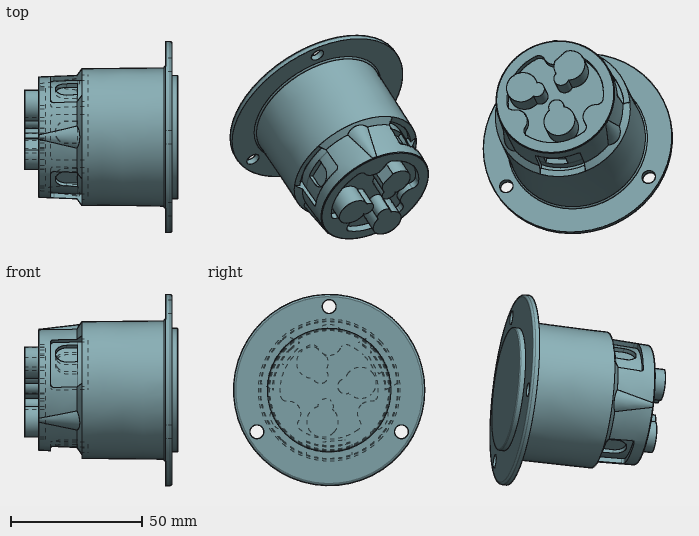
import cadquery as cq
import math


third_angles = (90, 210, 330)

cap_front = 5.2
recess_front = 9.9
cap_back = 19.9
ledge_start = 20.2
body_front = 21.8
flange_front = 53.65
flange_back = 56.1
overall_length = 58.3

cap_front_radius = 22.95
cap_back_radius = 23.55
body_front_radius = 26.1
body_back_radius = 26.4
flange_radius = 36.45
rear_ring_radius = 23.55
cap_edge_chamfer = 0.3
flange_root_fillet = 0.65
flange_edge_fillet = 0.9
rear_ring_fillet = 0.4

screw_hole_diameter = 5.2
screw_circle_radius = 31.8

recess_depth = 1.9
recess_corner_radius = 1.2
undercut_back = 24.05
undercut_radius = 23.7
side_recess_width = 20.7
lower_recess_width = 17.35
recesses = ((29, side_recess_width), (151, side_recess_width), (270, lower_recess_width))

pin_diameter = 11.95
pin_circle_radius = 12.25
key_pin_diameter = 5.8
key_pin_circle_radius = 6.35
flatted_pin_angle = 58.5
flat_angle = 132
flat_distance = 8.75
pin_angles = (flatted_pin_angle, 167, 282)

window_lag_angle = 17.3
window_front = 11.7
window_width = 8.45
window_floor_radius = 19.5

rib_tip_height = 0.2
rib_height = 1.5
rib_end_radius = 6.1
rib_tip_radius = 1.8

socket_radius = 18.65
socket_depth = 2.8
notch_radius = 4.75
notch_circle_radius = 17.9
lobe_fillet = 2.5

clearance = 3.65


def turn(angle, solid):
    """Rotate a feature drawn on the -Y side to its angle about the X axis."""
    return solid.rotate((0, 0, 0), (1, 0, 0), -angle)


def cylinder_at(angle, distance, radius, start, end):
    """Cylinder parallel to X, placed by angle and distance from the axis."""
    y = -distance * math.cos(math.radians(angle))
    z = distance * math.sin(math.radians(angle))
    return cq.Workplane("YZ", origin=(start, 0, 0)).center(y, z).circle(radius).extrude(end - start)


def revolve_profile(points):
    """Turn a profile given as (x, radius) points about the X axis."""
    return cq.Workplane("XY").polyline(points).close().revolve(360, (0, 0, 0), (1, 0, 0))


def shell():
    """Cap, body, flange and rear ring, turned as one piece."""
    turned = (
        cq.Workplane("XY")
        .moveTo(cap_front, 0)
        .lineTo(cap_front, cap_front_radius - cap_edge_chamfer)
        .lineTo(cap_front + cap_edge_chamfer, cap_front_radius)
        .lineTo(cap_back, cap_back_radius)
        .lineTo(body_front, body_front_radius)
        .lineTo(flange_front - flange_root_fillet, body_back_radius)
        .radiusArc((flange_front, body_back_radius + flange_root_fillet), flange_root_fillet)
        .lineTo(flange_front, flange_radius)
        .lineTo(flange_back - flange_edge_fillet, flange_radius)
        .radiusArc((flange_back, flange_radius - flange_edge_fillet), flange_edge_fillet)
        .lineTo(flange_back, rear_ring_radius)
        .lineTo(overall_length - rear_ring_fillet, rear_ring_radius)
        .radiusArc((overall_length, rear_ring_radius - rear_ring_fillet), rear_ring_fillet)
        .lineTo(overall_length, 0)
        .close()
        .revolve(360, (0, 0, 0), (1, 0, 0))
    )
    for angle in third_angles:
        hole = cylinder_at(angle, screw_circle_radius, screw_hole_diameter / 2, flange_front, flange_back)
        turned = turned.cut(hole)
    return turned


def rib():
    """Cone that starts narrow at the cap rim and swells toward the body."""
    length = cap_back - cap_front
    axis_tip_radius = cap_front_radius + rib_tip_height - rib_tip_radius
    axis_end_radius = cap_back_radius + rib_height - rib_end_radius
    drop = axis_tip_radius - axis_end_radius
    stretch = (body_front - cap_front) / length
    end_radius = rib_tip_radius + (rib_end_radius - rib_tip_radius) * stretch
    cone = cq.Solid.makeCone(
        rib_tip_radius,
        end_radius,
        math.hypot(length, drop) * stretch,
        cq.Vector(cap_front, -axis_tip_radius, 0),
        cq.Vector(length, drop, 0),
    )
    bounds = cq.Workplane("YZ", origin=(cap_front, 0, 0)).circle(body_front_radius)
    return cq.Workplane(cone).intersect(bounds.extrude(body_front - cap_front))


def recess_floor():
    """Core that stays below the latch recesses, parallel to the cap taper."""
    cap_slope = (cap_back_radius - cap_front_radius) / (cap_back - cap_front)
    ledge_radius = cap_back_radius - recess_depth
    front_radius = ledge_radius - cap_slope * (ledge_start - recess_front)
    return revolve_profile([
        (recess_front, 0),
        (recess_front, front_radius),
        (ledge_start, ledge_radius),
        (undercut_back, ledge_radius),
        (undercut_back, 0),
    ])


def recess_outer_limit():
    """Space the latch recesses may occupy: open over the cap, thin where they run under the body wall."""
    return revolve_profile([
        (recess_front, 0),
        (recess_front, body_front_radius + clearance),
        (body_front, body_front_radius + clearance),
        (body_front, undercut_radius),
        (undercut_back, undercut_radius),
        (undercut_back, 0),
    ])


def recess(width):
    """Straight-sided latch recess with rounded front corners."""
    length = undercut_back - recess_front
    block = (
        cq.Workplane("XZ")
        .center((recess_front + undercut_back) / 2, 0)
        .rect(length, width)
        .extrude(body_front_radius + clearance)
        .edges("|Y and <X")
        .fillet(recess_corner_radius)
    )
    return block.intersect(recess_outer_limit()).cut(recess_floor())


def window():
    """Flat-floored pocket with a round front end and a square back end."""
    radius = window_width / 2
    arc_start = window_front + radius
    return (
        cq.Workplane("XZ", origin=(0, -window_floor_radius, 0))
        .moveTo(ledge_start, -radius)
        .lineTo(arc_start, -radius)
        .threePointArc((window_front, 0), (arc_start, radius))
        .lineTo(ledge_start, radius)
        .close()
        .extrude(cap_front_radius - window_floor_radius)
    )


def socket():
    """Shallow round pocket with three rounded notches leaving three lobes."""
    socket_floor = cap_front + socket_depth
    pocket = cylinder_at(0, 0, socket_radius, cap_front, socket_floor)
    for angle in third_angles:
        pocket = pocket.cut(cylinder_at(angle, notch_circle_radius, notch_radius, cap_front, socket_floor))
    return pocket.edges("|X").fillet(lobe_fillet)


def pin(angle):
    """One contact pin, standing on the socket floor."""
    pin_root = cap_front + socket_depth
    main = cylinder_at(angle, pin_circle_radius, pin_diameter / 2, 0, pin_root)
    key = cylinder_at(angle, key_pin_circle_radius, key_pin_diameter / 2, 0, pin_root)
    return main.union(key)


def pin_flat():
    """Block that shaves a flat on the pin standing closest to a socket notch."""
    return cq.Workplane("XY").box(
        cap_front + socket_depth,
        pin_diameter,
        2 * socket_radius,
        centered=(False, False, True),
    ).translate((0, -flat_distance - pin_diameter, 0))


result = shell()
for rib_angle in third_angles:
    result = result.union(turn(rib_angle, rib()))
for recess_angle, recess_width in recesses:
    result = result.cut(turn(recess_angle, recess(recess_width)))
result = result.cut(socket())
for pin_angle in pin_angles:
    result = result.cut(turn(pin_angle - window_lag_angle, window()))
    contact = pin(pin_angle)
    if pin_angle == flatted_pin_angle:
        contact = contact.cut(turn(flat_angle, pin_flat()))
    result = result.union(contact)